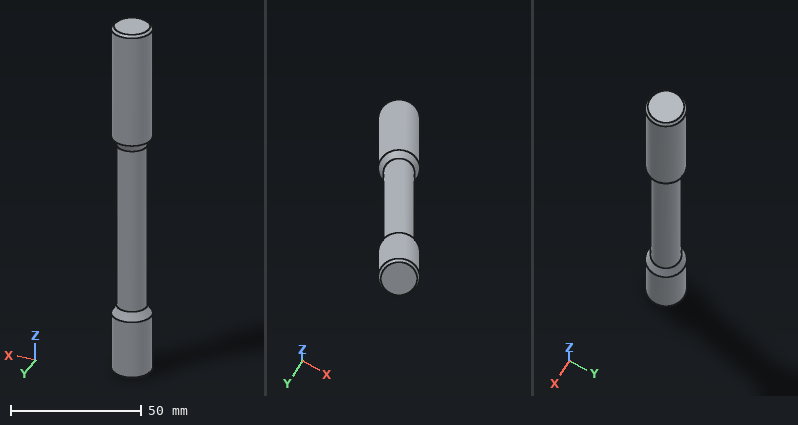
import cadquery as cq
import math

total_length = 150.0
head_diameter = 16.0
neck_diameter = 12.0
lower_head_length = 25.0
upper_head_length = 48.0
end_chamfer = 1.0
taper_angle = 30.0

head_radius = head_diameter / 2
neck_radius = neck_diameter / 2
taper_length = (head_radius - neck_radius) / math.tan(math.radians(taper_angle))
upper_head_base = total_length - upper_head_length

profile = (
    cq.Workplane("XZ")
    .moveTo(0, 0)
    .lineTo(head_radius - end_chamfer, 0)
    .lineTo(head_radius, end_chamfer)
    .lineTo(head_radius, lower_head_length)
    .lineTo(neck_radius, lower_head_length + taper_length)
    .lineTo(neck_radius, upper_head_base - taper_length)
    .lineTo(head_radius, upper_head_base)
    .lineTo(head_radius, total_length - end_chamfer)
    .lineTo(head_radius - end_chamfer, total_length)
    .lineTo(0, total_length)
    .close()
)

result = profile.revolve(360, (0, 0, 0), (0, 1, 0))